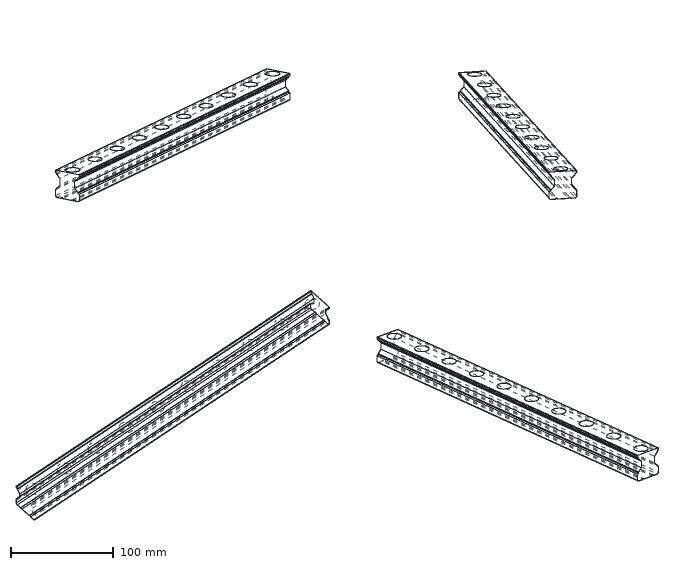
import cadquery as cq

rail_length = 380.0
rail_width = 28.0
rail_height = 28.0
half_width = rail_width / 2
half_length = rail_length / 2

top_chamfer = 0.5
head_side_end = rail_height - 2.1
head_ledge_inner = rail_height - 3.2
upper_race_start = rail_height - 4.1

web_half_width = 8.7
race_run = 3.6
race_half_width = web_half_width + race_run
upper_race_end = upper_race_start - race_run

foot_side_top = 8
foot_ledge_inner = 8.7
lower_race_start = 9.7
lower_race_end = lower_race_start + race_run
bottom_chamfer = 1.5

groove_offset = 6.5
groove_radius = 1.0

seat_count = 10
seat_pitch = 40.0
seat_diameter = 14.0
seat_depth = 0.1


def make_rail_body():
    """Extrude the symmetric rail section along Y."""
    right_side = [
        (half_width - bottom_chamfer, 0),
        (half_width, bottom_chamfer),
        (half_width, foot_side_top),
        (race_half_width, foot_ledge_inner),
        (race_half_width, lower_race_start),
        (web_half_width, lower_race_end),
        (web_half_width, upper_race_end),
        (race_half_width, upper_race_start),
        (race_half_width, head_ledge_inner),
        (half_width, head_side_end),
        (half_width, rail_height - top_chamfer),
        (half_width - top_chamfer, rail_height),
    ]
    left_side = [(-x, z) for x, z in reversed(right_side)]
    section = cq.Workplane("XZ").polyline(right_side + left_side).close()
    return section.extrude(half_length, both=True)


def cut_underside_grooves(body):
    """Cut the two half-round grooves that run the full length of the underside."""
    grooves = (
        cq.Workplane("XZ")
        .pushPoints([(-groove_offset, 0), (groove_offset, 0)])
        .circle(groove_radius)
        .extrude(half_length, both=True)
    )
    return body.cut(grooves)


def cut_cap_seats(body):
    """Cut the evenly spaced row of shallow round seats into the top face."""
    seats = (
        cq.Workplane("XY", origin=(0, 0, rail_height))
        .rarray(1, seat_pitch, 1, seat_count)
        .circle(seat_diameter / 2)
        .extrude(-seat_depth)
    )
    return body.cut(seats)


result = cut_cap_seats(cut_underside_grooves(make_rail_body()))